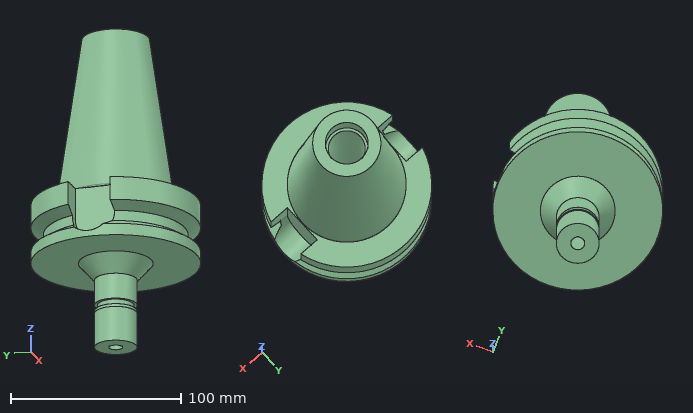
import cadquery as cq

TOTAL_HEIGHT = 191.8
SLEEVE_TOP = 21.1
COLLAR_FLANGE_TOP = 22.8
COLLAR_TOP = 26.3
STEM_TOP = 41.8
FLANGE_BOTTOM = 52.4
LOWER_RIM_TOP = 59.5
GROOVE_BOTTOM = 63.9
GROOVE_TOP = 70.2
UPPER_RIM_BOTTOM = 74.5
FLANGE_TOP = 88.6
TAPER_BOTTOM = 89.8

FLANGE_DIAMETER = 100.0
GROOVE_DIAMETER = 85.2
TAPER_BOTTOM_DIAMETER = 69.8
TAPER_TOP_DIAMETER = 40.0
CONE_TOP_DIAMETER = 44.0
STEM_DIAMETER = 25.1
NECK_DIAMETER = 21.7

COUNTERBORE_DIAMETER = STEM_DIAMETER
COUNTERBORE_DEPTH = 13.6
MIDDLE_BORE_DIAMETER = NECK_DIAMETER
MIDDLE_BORE_FLOOR = FLANGE_TOP
STEM_BORE_DIAMETER = 10.0
LOWER_BORE_DIAMETER = 8.0

SLOT_WIDTH = 26.0
SLOT_DEPTH = 32.6
SLOT_FACE_OFFSET = 35.3


def cylinder(diameter, bottom, top):
    """Solid cylinder on the Z axis between two heights."""
    return cq.Workplane("XY").workplane(offset=bottom).circle(diameter / 2).extrude(top - bottom)


def drive_slot(side):
    """Round-bottomed slot cutter, open upward and outward; side is +1 or -1 along X."""
    radius = SLOT_WIDTH / 2
    arc_center = FLANGE_TOP - SLOT_DEPTH + radius
    length = FLANGE_DIAMETER / 2 - SLOT_FACE_OFFSET
    return (
        cq.Workplane("YZ", origin=(side * SLOT_FACE_OFFSET, 0, 0))
        .moveTo(-radius, FLANGE_TOP)
        .lineTo(-radius, arc_center)
        .threePointArc((0, arc_center - radius), (radius, arc_center))
        .lineTo(radius, FLANGE_TOP)
        .close()
        .extrude(side * length)
    )


def holder_blank():
    """Revolved taper shank, grooved flange, cone and stem."""
    profile = [
        (0, COLLAR_TOP),
        (STEM_DIAMETER / 2, COLLAR_TOP),
        (STEM_DIAMETER / 2, STEM_TOP),
        (CONE_TOP_DIAMETER / 2, FLANGE_BOTTOM),
        (FLANGE_DIAMETER / 2, FLANGE_BOTTOM),
        (FLANGE_DIAMETER / 2, LOWER_RIM_TOP),
        (GROOVE_DIAMETER / 2, GROOVE_BOTTOM),
        (GROOVE_DIAMETER / 2, GROOVE_TOP),
        (FLANGE_DIAMETER / 2, UPPER_RIM_BOTTOM),
        (FLANGE_DIAMETER / 2, FLANGE_TOP),
        (TAPER_BOTTOM_DIAMETER / 2, FLANGE_TOP),
        (TAPER_BOTTOM_DIAMETER / 2, TAPER_BOTTOM),
        (TAPER_TOP_DIAMETER / 2, TOTAL_HEIGHT),
        (0, TOTAL_HEIGHT),
    ]
    return cq.Workplane("XZ").polyline(profile).close().revolve(360, (0, 0, 0), (0, 1, 0))


def make_holder():
    """Tool holder with its drive slots and stepped axial bore."""
    body = holder_blank()
    for side in (-1, 1):
        body = body.cut(drive_slot(side))
    body = body.cut(cylinder(COUNTERBORE_DIAMETER, TOTAL_HEIGHT - COUNTERBORE_DEPTH, TOTAL_HEIGHT))
    body = body.cut(cylinder(MIDDLE_BORE_DIAMETER, MIDDLE_BORE_FLOOR, TOTAL_HEIGHT))
    return body.cut(cylinder(STEM_BORE_DIAMETER, COLLAR_TOP, TOTAL_HEIGHT))


def make_collar():
    """Narrow neck below the stem, with a thin flange at its lower end."""
    flange = cylinder(STEM_DIAMETER, SLEEVE_TOP, COLLAR_FLANGE_TOP)
    neck = cylinder(NECK_DIAMETER, COLLAR_FLANGE_TOP, COLLAR_TOP)
    return flange.union(neck).cut(cylinder(LOWER_BORE_DIAMETER, SLEEVE_TOP, COLLAR_TOP))


def make_sleeve():
    """Plain bored cylinder at the bottom end."""
    body = cylinder(STEM_DIAMETER, 0, SLEEVE_TOP)
    return body.cut(cylinder(LOWER_BORE_DIAMETER, 0, SLEEVE_TOP))


holder = make_holder()
collar = make_collar()
sleeve = make_sleeve()

result = cq.Compound.makeCompound([holder.val(), collar.val(), sleeve.val()])